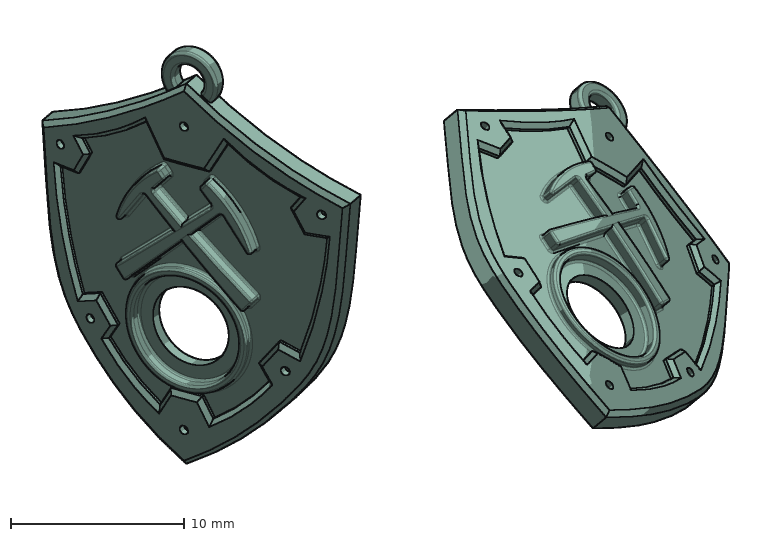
import cadquery as cq

HALF_WIDTH = 20.39 / 2
HEIGHT_WITH_LOOP = 26.97
APEX = (0, 16.2)
SHOULDER = (HALF_WIDTH, 10.45)
TIP = (0, -8.87)
SHOULDER_ARC_MID = (6.17, 12.36)
SIDE_CURVE = [(9.67, 3.98), (8.45, -0.57), (6.66, -3.17), (4.18, -5.77)]

PLATE = 1.0
FRAME_RELIEF = 0.5
HAMMER_RELIEF = 0.8
BOW_DEPTH = 1.2
BACK_RADIUS = (HALF_WIDTH**2 + BOW_DEPTH**2) / (2 * BOW_DEPTH)
FLOOR_RADIUS = BACK_RADIUS + PLATE
FRAME_RADIUS = FLOOR_RADIUS + FRAME_RELIEF
FRAME_BEVEL = 0.3

HOLE_DIAMETER = 5.0
RING_INNER_DIAMETER = 7.0
RING_OUTER_DIAMETER = 8.0
RING_RELIEF = 0.5
COUNTERBORE_DEPTH = 0.25

RELIEF_FILLET = 0.15
HAMMER_CORNER_FILLET = 0.17

DIMPLE_DIAMETER = 0.55
DIMPLE_DEPTH = 0.5
DIMPLES_ON_AXIS = [(0, 13.5), (0, -6.49)]
DIMPLES_PAIRED = [(8.64, 9.61), (6.45, -1.1)]

LOOP_RADIUS = 1.84
LOOP_HOLE_RADIUS = 1.0
LOOP_CENTRE_Z = HEIGHT_WITH_LOOP + TIP[1] - LOOP_RADIUS
LOOP_FILLET = 0.2

FRONT_Y = -5.0
BACK_Y = 5.0
Z_MARGIN = 5.0
OVERLAP = 0.2

PAD_DEPTH = 0.5
HAMMER_PAD_WIDTH = 11.0
HAMMER_PAD_BOTTOM = 1.8
HAMMER_PAD_TOP = 11.0
RING_PAD_WIDTH = RING_OUTER_DIAMETER + 4 * RELIEF_FILLET


def mirrored(point):
    return (-point[0], point[1])


def bowed_layer(inner_radius, outer_radius):
    """Tube about the vertical bow axis; the back of the plate is tangent to Y = 0."""
    bottom = TIP[1] - Z_MARGIN
    height = APEX[1] + Z_MARGIN - bottom
    return (
        cq.Workplane("XY", origin=(0, BACK_RADIUS, bottom))
        .circle(outer_radius)
        .circle(inner_radius)
        .extrude(height)
    )


def front_plane():
    """Plane in front of the part whose local axes are X and Z."""
    return cq.Workplane("XZ", origin=(0, FRONT_Y, 0))


def through(outline):
    return outline.extrude(FRONT_Y - BACK_Y)


def cylinder(diameter, centres=((0, 0),)):
    return through(front_plane().pushPoints(centres).circle(diameter / 2))


def faces_with_openings(solid):
    return [face for face in solid.faces().vals() if face.innerWires()]


def shield_blank():
    left_side = [mirrored(point) for point in reversed(SIDE_CURVE)]
    outline = (
        front_plane()
        .moveTo(*APEX)
        .threePointArc(SHOULDER_ARC_MID, SHOULDER)
        .spline(SIDE_CURVE + [TIP], includeCurrent=True)
        .spline(left_side + [mirrored(SHOULDER)], includeCurrent=True)
        .threePointArc(mirrored(SHOULDER_ARC_MID), APEX)
        .close()
    )
    return through(outline).intersect(bowed_layer(BACK_RADIUS, FRAME_RADIUS))


def half_panel():
    """Right half of the sunken panel, notched by the rivet tabs of the frame."""
    return through(
        front_plane()
        .moveTo(0, 10.78)
        .lineTo(1.5, 10.78)
        .lineTo(2.69, 12.92)
        .threePointArc((4.86, 11.48), (7.21, 10.38))
        .lineTo(6.62, 9.55)
        .lineTo(7.47, 7.96)
        .lineTo(8.82, 7.96)
        .threePointArc((8.26, 4.0), (7.18, 0.11))
        .lineTo(5.92, 0.6)
        .lineTo(4.66, -1.08)
        .lineTo(5.3, -2.14)
        .threePointArc((3.66, -3.94), (1.76, -5.44))
        .lineTo(1.03, -4.14)
        .lineTo(0, -4.14)
        .close()
    )


def panel_recess():
    right_half = half_panel()
    panel = right_half.union(right_half.mirror("YZ"))
    return panel.intersect(bowed_layer(FLOOR_RADIUS, FRAME_RADIUS + OVERLAP))


def framed_shield():
    """Plate with a raised frame whose inner and outer edges are bevelled."""
    body = shield_blank().cut(panel_recess())
    return body.newObject(faces_with_openings(body)).chamfer(FRAME_BEVEL)


def on_pad(relief, width, bottom, top):
    """Set a relief on a pad buried in the plate and round the joint between them."""
    pad = through(front_plane().center(0, (bottom + top) / 2).rect(width, top - bottom))
    pad = pad.intersect(bowed_layer(FLOOR_RADIUS - PAD_DEPTH, FLOOR_RADIUS))
    joined = pad.union(relief)
    joint_edges = []
    for face in faces_with_openings(joined):
        for wire in face.innerWires():
            joint_edges += wire.Edges()
    return joined.newObject(joint_edges).fillet(RELIEF_FILLET)


def hammer():
    """Hammer with its head at the upper right and its handle running to the lower left."""
    solid = through(
        front_plane()
        .moveTo(-4.58, 3.17)
        .lineTo(-3.88, 2.32)
        .lineTo(2.57, 8.54)
        .lineTo(4.24, 6.17)
        .lineTo(4.51, 6.33)
        .threePointArc((3.41, 8.64), (1.58, 10.43))
        .lineTo(1.11, 9.85)
        .lineTo(1.97, 8.89)
        .close()
    )
    solid = solid.edges("|Y").fillet(HAMMER_CORNER_FILLET)
    solid = solid.intersect(bowed_layer(FLOOR_RADIUS - OVERLAP, FLOOR_RADIUS + HAMMER_RELIEF))
    solid = solid.faces("<Y").edges().fillet(RELIEF_FILLET)
    return on_pad(solid, HAMMER_PAD_WIDTH, HAMMER_PAD_BOTTOM, HAMMER_PAD_TOP)


def counterbore():
    bore = cylinder(RING_INNER_DIAMETER)
    bore = bore.intersect(bowed_layer(FLOOR_RADIUS - COUNTERBORE_DEPTH, FRAME_RADIUS + OVERLAP))
    return bore.faces(">Y").edges().fillet(RELIEF_FILLET)


def ring(bore):
    disc = cylinder(RING_OUTER_DIAMETER)
    disc = disc.intersect(bowed_layer(FLOOR_RADIUS - OVERLAP, FLOOR_RADIUS + RING_RELIEF))
    half_pad = RING_PAD_WIDTH / 2
    band = on_pad(disc, RING_PAD_WIDTH, -half_pad, half_pad).cut(bore)
    return band.faces("<Y").edges().fillet(RELIEF_FILLET)


def dimples():
    centres = DIMPLES_ON_AXIS + DIMPLES_PAIRED + [mirrored(point) for point in DIMPLES_PAIRED]
    layer = bowed_layer(FRAME_RADIUS - DIMPLE_DEPTH, FRAME_RADIUS + OVERLAP)
    return cylinder(DIMPLE_DIAMETER, centres).intersect(layer)


def hanging_loop():
    """Flat eyelet standing behind the apex, as thick as the plate."""
    loop = (
        cq.Workplane("XZ", origin=(0, 0, LOOP_CENTRE_Z))
        .circle(LOOP_RADIUS)
        .circle(LOOP_HOLE_RADIUS)
        .extrude(PLATE)
    )
    return loop.faces("<Y or >Y").edges().fillet(LOOP_FILLET)


right_hammer = hammer()
left_hammer = right_hammer.mirror("YZ")
bore = counterbore()

result = framed_shield().cut(dimples())
result = result.union(right_hammer).union(left_hammer)
result = result.cut(bore).union(ring(bore))
result = result.cut(cylinder(HOLE_DIAMETER))
result = result.union(hanging_loop())